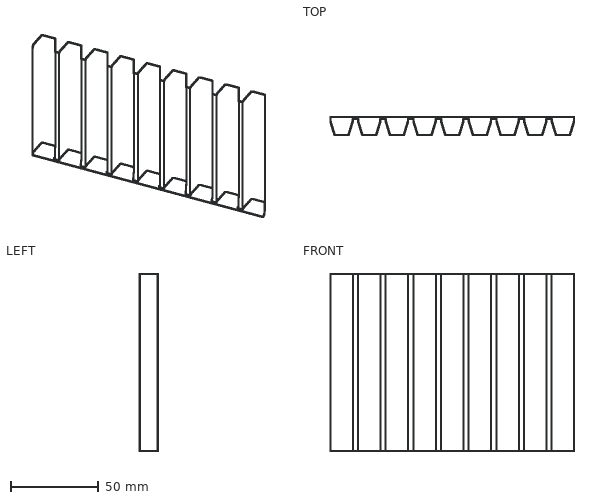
import cadquery as cq
import math

length = 139.7
thickness = 10.5
height = 101.5

tooth_count = 9
tooth_root_width = 12.9
web_thickness = 1.4
flank_angle = 17.0
flank_start_depth = 2.7
tip_radius = 0.7
back_corner_radius = 0.7

pitch = (length - tooth_root_width) / (tooth_count - 1)
back_y = thickness / 2
tip_y = -thickness / 2
flank_start_y = back_y - flank_start_depth
flank_slope = math.tan(math.radians(flank_angle))


def make_web():
    """Thin plate along the back that joins all the teeth."""
    return cq.Workplane("XY").center(0, back_y - web_thickness / 2).rect(length, web_thickness).extrude(height)


def make_tooth(center_x):
    """Tooth with short straight sides at the root and sloping flanks down to a flat tip."""
    root_half = tooth_root_width / 2
    tip_half = root_half - (flank_start_y - tip_y) * flank_slope
    outline = [
        (center_x - root_half, back_y),
        (center_x + root_half, back_y),
        (center_x + root_half, flank_start_y),
        (center_x + tip_half, tip_y),
        (center_x - tip_half, tip_y),
        (center_x - root_half, flank_start_y),
    ]
    return cq.Workplane("XY").polyline(outline).close().extrude(height)


body = make_web()
for index in range(tooth_count):
    tooth_x = (index - (tooth_count - 1) / 2) * pitch
    body = body.union(make_tooth(tooth_x))
body = body.clean()

body = body.edges("|Z and <Y").fillet(tip_radius)
result = body.edges("|Z and >Y").fillet(back_corner_radius)